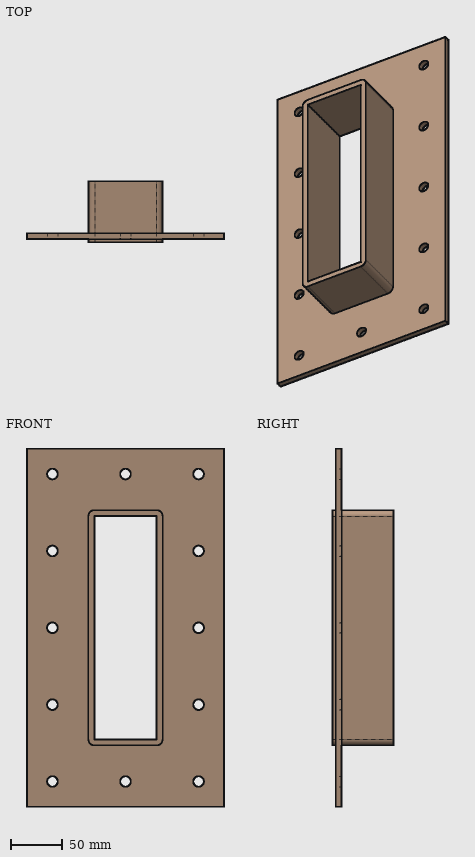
import cadquery as cq

plate_width = 192.5
plate_height = 350.0
plate_thickness = 6.0

duct_length = 60.0
duct_front_lip = 3.0
duct_wall = 6.0
opening_width = 60.5
opening_height = 218.0
duct_width = opening_width + 2 * duct_wall
duct_height = opening_height + 2 * duct_wall
duct_corner_radius = duct_wall

hole_diameter = 10.0
hole_edge_distance = 25.0
hole_columns = 3
hole_rows = 5
column_pitch = (plate_width - 2 * hole_edge_distance) / (hole_columns - 1)
row_pitch = (plate_height - 2 * hole_edge_distance) / (hole_rows - 1)


def block(width, depth, height, front):
    """Box centred in X and Z, extending toward +Y from its front face."""
    return cq.Workplane("XY").box(width, depth, height, centered=(True, False, True)).translate((0, front, 0))


def bolt_positions():
    """Perimeter points of the hole grid, as (x, z) pairs."""
    points = []
    for column in range(hole_columns):
        for row in range(hole_rows):
            on_side = column in (0, hole_columns - 1)
            on_end = row in (0, hole_rows - 1)
            if on_side or on_end:
                x = (column - (hole_columns - 1) / 2) * column_pitch
                z = (row - (hole_rows - 1) / 2) * row_pitch
                points.append((x, z))
    return points


plate = block(plate_width, plate_thickness, plate_height, 0)
plate = plate.faces("<Y").workplane(origin=(0, 0, 0)).pushPoints(bolt_positions()).hole(hole_diameter)

duct = block(duct_width, duct_length, duct_height, -duct_front_lip)
duct = duct.edges("|Y").fillet(duct_corner_radius)
opening = block(opening_width, duct_length, opening_height, -duct_front_lip)

result = plate.union(duct).cut(opening)